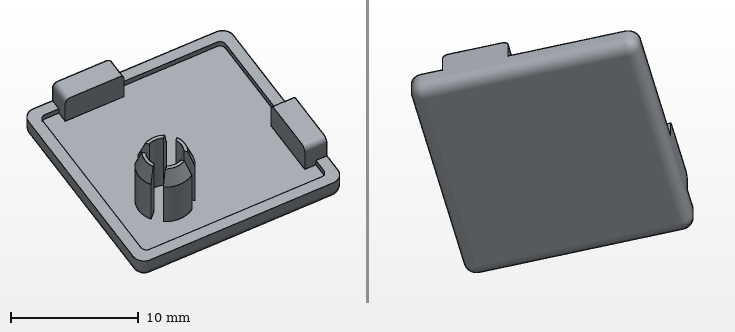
import cadquery as cq

plate_side = 18.5
plate_thickness = 2.0
edge_radius = 1.0

rim_width = 1.0
recess_depth = 0.5
recess_corner_radius = 0.5
floor_z = plate_thickness - recess_depth

tab_length = 5.33
tab_depth = 2.0
tab_top_z = 4.0
tab_corner_radius = 0.5

post_offset = 3.85
post_radius = 2.37
post_tip_radius = 1.8
post_bore_radius = 1.5
post_top_z = 7.0
taper_height = 1.5
slot_width = 1.0
slot_angles = (45, 135)


def make_plate():
    plate = (
        cq.Workplane("XY")
        .rect(plate_side, plate_side)
        .extrude(plate_thickness)
        .edges("|Z")
        .fillet(edge_radius)
        .faces("<Z")
        .edges()
        .fillet(edge_radius)
    )
    recess_side = plate_side - 2 * rim_width
    recess = (
        cq.Workplane("XY", origin=(0, 0, floor_z))
        .rect(recess_side, recess_side)
        .extrude(recess_depth)
        .edges("|Z")
        .fillet(recess_corner_radius)
    )
    return plate.cut(recess)


def make_tab(size_x, size_y, center_x, center_y, rounded_edges):
    """Block rising from the recess floor, with its two top end edges rounded."""
    return (
        cq.Workplane("XY", origin=(center_x, center_y, floor_z))
        .box(size_x, size_y, tab_top_z - floor_z, centered=(True, True, False))
        .edges(rounded_edges)
        .fillet(tab_corner_radius)
    )


def make_post():
    """Tapered tube cut into four prongs by two crossing diagonal slots."""
    post_height = post_top_z - floor_z
    post = (
        cq.Workplane("XZ")
        .moveTo(post_bore_radius, 0)
        .lineTo(post_radius, 0)
        .lineTo(post_radius, post_height - taper_height)
        .lineTo(post_tip_radius, post_height)
        .lineTo(post_bore_radius, post_height)
        .close()
        .revolve(360, (0, 0, 0), (0, 1, 0))
    )
    for angle in slot_angles:
        slot = (
            cq.Workplane("XY")
            .box(3 * post_radius, slot_width, post_height, centered=(True, True, False))
            .rotate((0, 0, 0), (0, 0, 1), angle)
        )
        post = post.cut(slot)
    return post.translate((post_offset, -post_offset, floor_z))


tab_center = plate_side / 2 - tab_depth / 2
left_tab = make_tab(tab_depth, tab_length, -tab_center, -post_offset, "|X and >Z")
back_tab = make_tab(tab_length, tab_depth, post_offset, tab_center, "|Y and >Z")

result = make_plate().union(left_tab).union(back_tab).union(make_post())